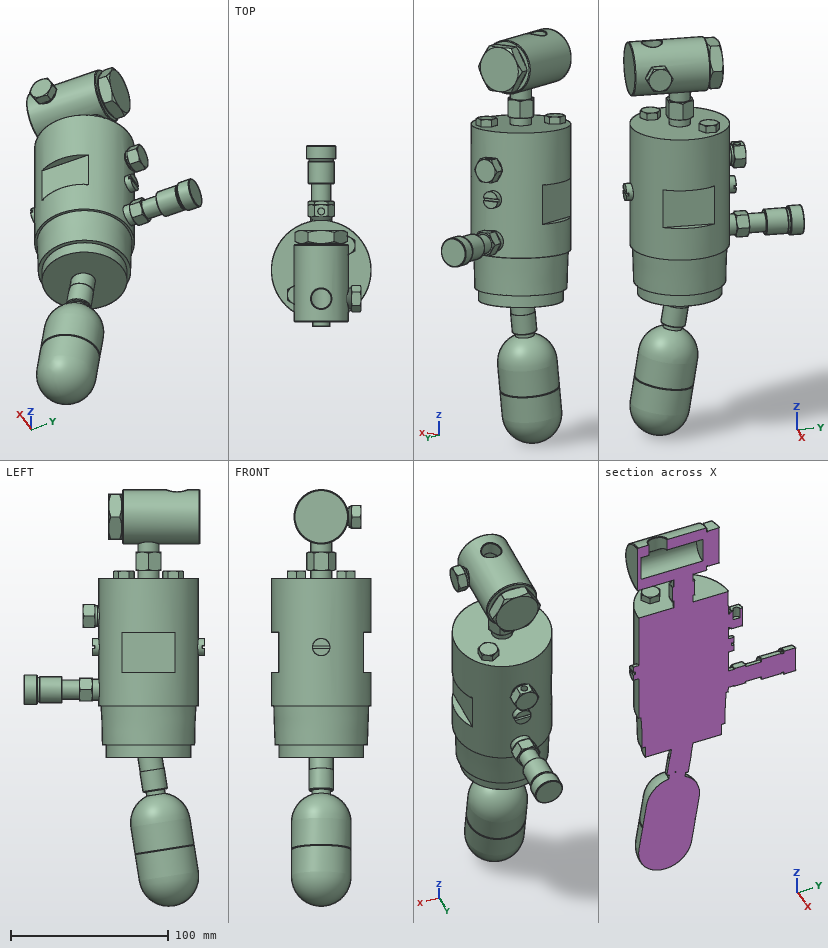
import cadquery as cq
import math

TOTAL_HEIGHT = 264.92
TOTAL_DEPTH = 114.96
OVERLAP = 1.0

HEX_BEVEL_ANGLE = 30.0

BODY_RADIUS = 31.75
BODY_TOP = 113.9
BODY_BOTTOM = 32.8
THREAD_TOP_RADIUS = 30.25
THREAD_BOTTOM_RADIUS = 29.4
THREAD_BOTTOM = 8.1
SPIGOT_RADIUS = 27.0
FLAT_OFFSET = 27.0
FLAT_TOP = 79.6
FLAT_BOTTOM = 54.2

CAP_SCREW_OFFSET = 15.7
CAP_SCREW_FLATS = 11.6
CAP_SCREW_HEIGHT = 4.7

PIN_RADIUS = 5.5
PIN_Z = 70.2
PIN_REACH = 35.7
PIN_SLOT_WIDTH = 1.7
PIN_SLOT_DEPTH = 1.5

PLUG_FLATS = 14.7
SIDE_PLUG_HEX_LENGTH = 6.3
VENT_PLUG_HEX_LENGTH = 7.8
PLUG_NECK_RADIUS = 5.6
PLUG_COLLAR_RADIUS = 6.7
PLUG_COLLAR_LENGTH = 1.4
VENT_RADIUS = 2.2
VENT_Y = 37.4
BODY_PLUG_Z = 90.0
BODY_PLUG_END_Y = 41.7

OUTLET_Z = 43.1
OUTLET_END = TOTAL_DEPTH - PIN_REACH
OUTLET_COLLAR_RADIUS = 9.4
OUTLET_COLLAR_START = 70.6
OUTLET_SLEEVE_RADIUS = 8.3
OUTLET_SLEEVE_START = 54.9
OUTLET_PIPE_RADIUS = 6.2
OUTLET_NECK_RADIUS = 6.8
OUTLET_GAP = 1.2
OUTLET_GAP_RADIUS = 7.8
OUTLET_HEX_START = 35.7
OUTLET_HEX_END = 44.0
OUTLET_HEX_FLATS = 14.6
OUTLET_CHAMFER = 0.5

HEAD_RADIUS = 17.3
HEAD_FRONT_Y = -32.8
HEAD_BACK_Y = 16.4
HEAD_CHAMFER = 0.6
HEAD_BORE_RADIUS = 8.5
HEAD_WALL = 3.0
HEAD_PORT_Y = -18.1
HEAD_PORT_RADIUS = 6.3
HEAD_PORT_CHAMFER = 0.5
HEAD_PLUG_END_X = 25.4
END_PLUG_FLATS = 28.7
END_PLUG_END_Y = 25.3
END_PLUG_GAP = 0.6
END_PLUG_NECK_RADIUS = 13.8

STEM_RADIUS = 6.8
STEM_HEX_FLATS = 16.1
STEM_HEX_BOTTOM = 118.8
STEM_HEX_TOP = 130.6

FLOAT_TILT = 9.0
PIVOT_Z = 6.2
FLOAT_RADIUS = 19.05
FLOAT_BARREL = 34.5
FLOAT_BOTTOM_Z = -94.6
FLOAT_GROOVE_WIDTH = 0.6
FLOAT_GROOVE_DEPTH = 0.3
ROD_RADIUS = 7.7
SLEEVE_RADIUS = 7.9
SLEEVE_START = 14.3
SLEEVE_END = 27.6
SLEEVE_CHAMFER = 0.6
FLOAT_NECK_RADIUS = 6.0

HEAD_Z = FLOAT_BOTTOM_Z + TOTAL_HEIGHT - HEAD_RADIUS


def plane_along_x(x, y, z):
    """Plane facing +X, with its own x direction along +Y."""
    return cq.Workplane(cq.Plane(origin=(x, y, z), xDir=(0, 1, 0), normal=(1, 0, 0)))


def plane_along_y(x, y, z):
    """Plane facing +Y, with its own x direction along +X."""
    return cq.Workplane(cq.Plane(origin=(x, y, z), xDir=(1, 0, 0), normal=(0, 1, 0)))


def plane_along_z(x, y, z):
    """Plane facing +Z, with its own x direction along +X."""
    return cq.Workplane(cq.Plane(origin=(x, y, z), xDir=(1, 0, 0), normal=(0, 0, 1)))


def hex_prism(plane, across_flats, length, bevelled_faces):
    """Hexagonal prism with two corners on the plane's own x direction and its corners bevelled."""
    across_corners = across_flats / math.cos(math.pi / 6)
    bevel_width = (across_corners - across_flats) / 2
    bevel_height = bevel_width * math.tan(math.radians(HEX_BEVEL_ANGLE))
    envelope = plane.circle(across_corners / 2).extrude(length)
    envelope = envelope.faces(bevelled_faces).edges().chamfer(bevel_height, bevel_width)
    return plane.polygon(6, across_corners).extrude(length).intersect(envelope)


def make_body():
    profile = (
        cq.Workplane("XZ")
        .lineTo(SPIGOT_RADIUS, 0)
        .lineTo(SPIGOT_RADIUS, THREAD_BOTTOM)
        .lineTo(THREAD_BOTTOM_RADIUS, THREAD_BOTTOM)
        .lineTo(THREAD_TOP_RADIUS, BODY_BOTTOM)
        .lineTo(BODY_RADIUS, BODY_BOTTOM)
        .lineTo(BODY_RADIUS, BODY_TOP)
        .lineTo(0, BODY_TOP)
        .close()
    )
    body = profile.revolve(360, (0, 0, 0), (0, 1, 0))
    flat_height = FLAT_TOP - FLAT_BOTTOM
    flat_middle = (FLAT_TOP + FLAT_BOTTOM) / 2
    for side in (-1, 1):
        cutter = cq.Workplane("XY").box(BODY_RADIUS, 2 * BODY_RADIUS, flat_height)
        cutter = cutter.translate((side * (FLAT_OFFSET + BODY_RADIUS / 2), 0, flat_middle))
        body = body.cut(cutter)
    return body


def make_cap_screw(side):
    corner = side * CAP_SCREW_OFFSET
    base = BODY_TOP - OVERLAP
    screw = hex_prism(plane_along_z(0, 0, 0), CAP_SCREW_FLATS, CAP_SCREW_HEIGHT + OVERLAP, ">Z")
    return screw.rotate((0, 0, 0), (0, 0, 1), 90).translate((corner, corner, base))


def make_pivot_pins():
    pins = plane_along_y(0, -PIN_REACH, PIN_Z).circle(PIN_RADIUS).extrude(2 * PIN_REACH)
    for end_y in (-PIN_REACH, PIN_REACH):
        slot = cq.Workplane("XY").box(2 * PIN_RADIUS, 2 * PIN_SLOT_DEPTH, PIN_SLOT_WIDTH)
        pins = pins.cut(slot.translate((0, end_y, PIN_Z)))
    return pins


def make_plug(plane, start, end, hex_length, end_faces):
    """Hex-headed plug pointing along the plane's normal: a round neck, a collar, then the hexagon."""
    hex_start = end - hex_length
    collar_start = hex_start - PLUG_COLLAR_LENGTH
    neck = plane.workplane(offset=start).circle(PLUG_NECK_RADIUS).extrude(hex_start - start)
    collar = plane.workplane(offset=collar_start).circle(PLUG_COLLAR_RADIUS).extrude(PLUG_COLLAR_LENGTH)
    head = hex_prism(plane.workplane(offset=hex_start), PLUG_FLATS, hex_length, end_faces)
    return neck.union(collar).union(head)


def make_vent_plug():
    """Plug on the back of the body with a vent hole drilled down into its upper flat."""
    plane = plane_along_y(0, 0, BODY_PLUG_Z)
    start = BODY_RADIUS - OVERLAP
    plug = make_plug(plane, start, BODY_PLUG_END_Y, VENT_PLUG_HEX_LENGTH, "<Y or >Y")
    vent = plane_along_z(0, VENT_Y, BODY_PLUG_Z).circle(VENT_RADIUS).extrude(PLUG_FLATS)
    return plug.cut(vent)


def make_outlet():
    def ring(start, end, radius):
        return plane_along_y(0, start, OUTLET_Z).circle(radius).extrude(end - start)

    neck = ring(BODY_RADIUS - 2 * OVERLAP, OUTLET_HEX_START + OVERLAP, OUTLET_NECK_RADIUS)
    pipe = ring(OUTLET_HEX_START, OUTLET_SLEEVE_START + OVERLAP, OUTLET_PIPE_RADIUS)
    nut_plane = plane_along_y(0, OUTLET_HEX_START, OUTLET_Z)
    nut = hex_prism(nut_plane, OUTLET_HEX_FLATS, OUTLET_HEX_END - OUTLET_HEX_START, "<Y or >Y")
    sleeve = ring(OUTLET_SLEEVE_START, OUTLET_COLLAR_START - OUTLET_GAP, OUTLET_SLEEVE_RADIUS)
    sleeve = sleeve.edges().chamfer(OUTLET_CHAMFER)
    gap_core = ring(OUTLET_SLEEVE_START + OVERLAP, OUTLET_COLLAR_START + OVERLAP, OUTLET_GAP_RADIUS)
    collar = ring(OUTLET_COLLAR_START, OUTLET_END, OUTLET_COLLAR_RADIUS)
    collar = collar.edges().chamfer(OUTLET_CHAMFER)
    return neck.union(pipe).union(nut).union(sleeve).union(gap_core).union(collar)


def make_head():
    head = plane_along_y(0, HEAD_FRONT_Y, HEAD_Z).circle(HEAD_RADIUS).extrude(HEAD_BACK_Y - HEAD_FRONT_Y)
    head = head.faces("<Y or >Y").chamfer(HEAD_CHAMFER)

    bore_front = HEAD_FRONT_Y + HEAD_WALL
    bore_length = HEAD_BACK_Y - HEAD_WALL - bore_front
    bore = plane_along_y(0, bore_front, HEAD_Z).circle(HEAD_BORE_RADIUS).extrude(bore_length)
    port = plane_along_z(0, HEAD_PORT_Y, HEAD_Z).circle(HEAD_PORT_RADIUS).extrude(HEAD_RADIUS + OVERLAP)
    head = head.cut(port)
    head = head.edges("%BSPLINE").chamfer(HEAD_PORT_CHAMFER)
    head = head.cut(bore)

    end_neck = plane_along_y(0, HEAD_BACK_Y - OVERLAP, HEAD_Z).circle(END_PLUG_NECK_RADIUS)
    end_hex = hex_prism(
        plane_along_y(0, HEAD_BACK_Y + END_PLUG_GAP, HEAD_Z),
        END_PLUG_FLATS,
        END_PLUG_END_Y - HEAD_BACK_Y - END_PLUG_GAP,
        "<Y or >Y",
    )
    head = head.union(end_neck.extrude(OVERLAP + END_PLUG_GAP)).union(end_hex)
    side_plane = plane_along_x(0, HEAD_PORT_Y, HEAD_Z)
    start = HEAD_BORE_RADIUS
    side_plug = make_plug(side_plane, start, HEAD_PLUG_END_X, SIDE_PLUG_HEX_LENGTH, "<X or >X")
    return head.union(side_plug)


def make_stem():
    bottom = BODY_TOP - OVERLAP
    top = HEAD_Z - (HEAD_RADIUS + HEAD_BORE_RADIUS) / 2
    tube = plane_along_z(0, 0, bottom).circle(STEM_RADIUS).extrude(top - bottom)
    nut_plane = plane_along_z(0, 0, STEM_HEX_BOTTOM)
    nut = hex_prism(nut_plane, STEM_HEX_FLATS, STEM_HEX_TOP - STEM_HEX_BOTTOM, "<Z or >Z")
    return tube.union(nut)


def make_float():
    """Float and rod drawn straight below the pivot, then tilted toward -Y."""
    lower_center = (PIVOT_Z - FLOAT_BOTTOM_Z - FLOAT_RADIUS) / math.cos(math.radians(FLOAT_TILT))
    upper_center = lower_center - FLOAT_BARREL
    middle = (lower_center + upper_center) / 2
    groove_radius = FLOAT_RADIUS - FLOAT_GROOVE_DEPTH
    half_groove = FLOAT_GROOVE_WIDTH / 2
    dome = FLOAT_RADIUS * math.sin(math.pi / 4)
    profile = (
        cq.Workplane("XZ")
        .moveTo(0, -(upper_center - FLOAT_RADIUS))
        .threePointArc((dome, -(upper_center - dome)), (FLOAT_RADIUS, -upper_center))
        .lineTo(FLOAT_RADIUS, -(middle - half_groove))
        .lineTo(groove_radius, -(middle - half_groove))
        .lineTo(groove_radius, -(middle + half_groove))
        .lineTo(FLOAT_RADIUS, -(middle + half_groove))
        .lineTo(FLOAT_RADIUS, -lower_center)
        .threePointArc((dome, -(lower_center + dome)), (0, -(lower_center + FLOAT_RADIUS)))
        .close()
    )
    ball = profile.revolve(360, (0, 0, 0), (0, 1, 0))

    def rod(start, end, radius):
        return plane_along_z(0, 0, -end).circle(radius).extrude(end - start)

    arm = rod(PIVOT_Z - 2 * OVERLAP, SLEEVE_START, ROD_RADIUS)
    sleeve = rod(SLEEVE_START, SLEEVE_END, SLEEVE_RADIUS).faces("<Z").chamfer(SLEEVE_CHAMFER)
    neck = rod(SLEEVE_START, upper_center, FLOAT_NECK_RADIUS)
    joined = ball.union(arm).union(sleeve).union(neck)
    return joined.rotate((0, 0, 0), (1, 0, 0), -FLOAT_TILT).translate((0, 0, PIVOT_Z))


result = make_body()
pieces = [
    make_cap_screw(-1),
    make_cap_screw(1),
    make_pivot_pins(),
    make_vent_plug(),
    make_outlet(),
    make_stem(),
    make_head(),
    make_float(),
]
for piece in pieces:
    result = result.union(piece)